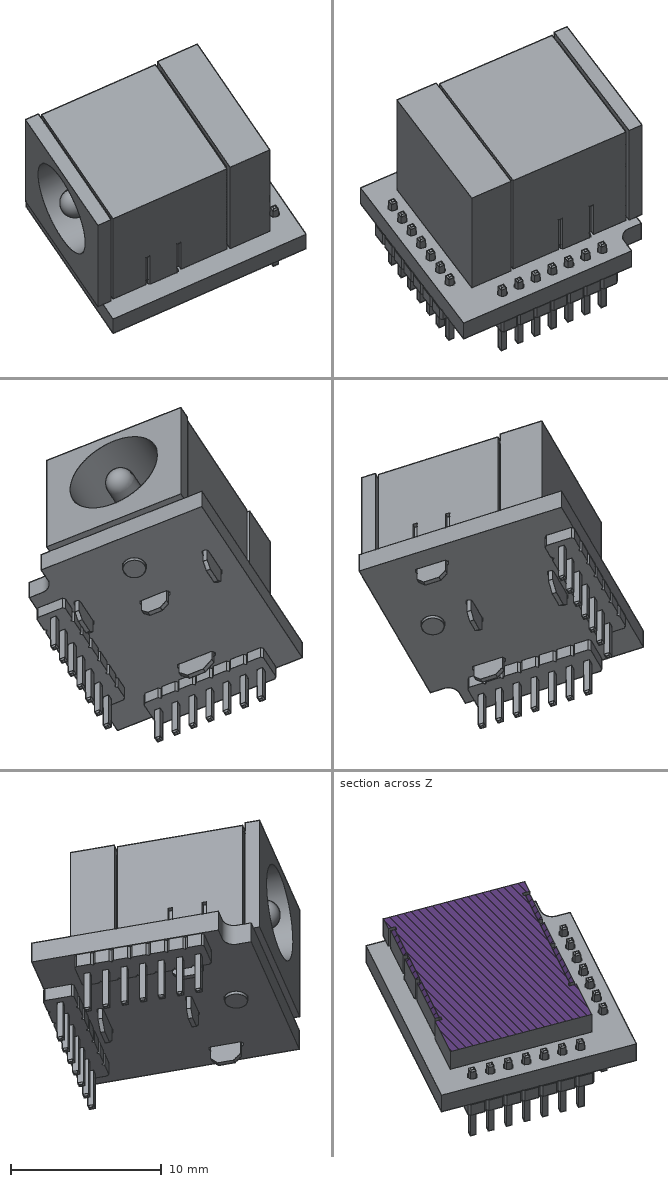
import cadquery as cq


board_width = 13.75
board_length = 14.6
board_thickness = 1.6
board_left = -7.4
board_front = 0.4
board_back = board_front + board_length
corner_notch_width = 1.79
corner_notch_length = 1.76
corner_notch_radius = 0.8
pin_hole_diameter = 0.65
peg_hole_diameter = 1.6
slot_width = 0.47
slot_end_clearance = 0.15

seating_gap = 0.038
jack_bottom = board_thickness + seating_gap
header_top = -seating_gap

jack_width = 10.0
jack_length = 13.0
jack_height = 9.0
front_plate_length = 1.0
rear_block_length = 3.01
bore_diameter = 6.5
bore_axis_height = 5.0
bore_depth = jack_length - rear_block_length
contact_pin_diameter = 2.0
peg_diameter = 1.5
peg_length = 1.84
peg_y = 3.0

shell_gap = 0.2
shell_sheet = 0.3
shell_side_inset = 0.08
shell_top_inset = 0.12
shell_front = front_plate_length + shell_gap
shell_length = jack_length - rear_block_length - front_plate_length - 2 * shell_gap
shell_width = jack_width - 2 * shell_side_inset
shell_height = jack_height - shell_top_inset
core_width = shell_width - 2 * shell_sheet
core_height = shell_height - shell_sheet
neck_inset = 0.5
neck_width = jack_width - 2 * neck_inset
neck_height = jack_height - neck_inset
relief_slot_width = 0.3
relief_slot_height = 2.95

terminal_thickness = shell_sheet
terminal_length = 3.01
rear_terminal_width = 2.47
rear_terminal_taper = 0.65
rear_terminal_y = 12.01
middle_terminal_width = 1.87
middle_terminal_taper = 0.47
middle_terminal_y = 6.0
side_terminal_width = 2.05
side_terminal_taper = 0.47
side_terminal_y = 5.0
side_terminal_x = (shell_width - terminal_thickness) / 2

pin_count = 7
header_length = 8.9
pin_pitch = header_length / pin_count
header_width = 2.1
header_height = 1.0
segment_chamfer = 0.15
pin_size = 0.4
pin_tip_chamfer = 0.1
pin_drop = 4.0
pin_rise = 0.62
back_header_overhang = 0.05
left_header_y = 7.63
pin_bottom = header_top - pin_drop
pin_top = jack_bottom + pin_rise
back_header_center = (0, board_back + back_header_overhang - header_width / 2)
left_header_center = (board_left + header_width / 2, left_header_y)


def block(width, length, height, front, bottom):
    """Box centred on X = 0, reaching back from Y = front and up from Z = bottom."""
    box = cq.Workplane("XY").box(width, length, height, centered=(True, False, False))
    return box.translate((0, front, bottom))


def terminal(width, taper):
    """Flat terminal across X with a 45 degree tapered end, hanging below the jack at Y = 0."""
    half = width / 2
    points = [
        (-half, 0),
        (-half, taper - terminal_length),
        (taper - half, -terminal_length),
        (half - taper, -terminal_length),
        (half, taper - terminal_length),
        (half, 0),
    ]
    plate = cq.Workplane("XZ").polyline(points).close().extrude(terminal_thickness / 2, both=True)
    return plate.translate((0, 0, jack_bottom))


def pin_offsets():
    """Distances of the pins of one header from its middle."""
    return [(i - (pin_count - 1) / 2) * pin_pitch for i in range(pin_count)]


def pin_places():
    """XY places of all the header pins."""
    back_row = [(back_header_center[0] + d, back_header_center[1]) for d in pin_offsets()]
    left_row = [(left_header_center[0], left_header_center[1] + d) for d in pin_offsets()]
    return back_row + left_row


def cut_slot(plate, width, x, y, angle):
    """Cut a round-ended slot through the board for a terminal of the given width."""
    slot = (
        cq.Workplane("XY")
        .slot2D(width + 2 * slot_end_clearance, slot_width, angle)
        .extrude(board_thickness)
    )
    return plate.cut(slot.translate((x, y, 0)))


def make_board():
    plate = cq.Workplane("XY").box(board_width, board_length, board_thickness, centered=False)
    notch = (
        cq.Workplane("XY")
        .box(corner_notch_width, corner_notch_length, board_thickness, centered=False)
        .edges("|Z and >X and >Y")
        .fillet(corner_notch_radius)
    )
    plate = plate.cut(notch).translate((board_left, board_front, 0))
    pin_holes = (
        cq.Workplane("XY").pushPoints(pin_places()).circle(pin_hole_diameter / 2).extrude(board_thickness)
    )
    peg_hole = cq.Workplane("XY").center(0, peg_y).circle(peg_hole_diameter / 2).extrude(board_thickness)
    plate = plate.cut(pin_holes).cut(peg_hole)
    plate = cut_slot(plate, rear_terminal_width, 0, rear_terminal_y, 0)
    plate = cut_slot(plate, middle_terminal_width, 0, middle_terminal_y, 0)
    for side in (-1, 1):
        plate = cut_slot(plate, side_terminal_width, side * side_terminal_x, side_terminal_y, 90)
    return plate


def make_contact_pin():
    """Round pin on the bore axis, its domed tip level with the front face."""
    radius = contact_pin_diameter / 2
    shaft = cq.Workplane("XZ").circle(radius).extrude(radius - bore_depth).translate((0, radius, 0))
    dome = cq.Workplane("XY").sphere(radius).translate((0, radius, 0))
    return shaft.union(dome).translate((0, 0, jack_bottom + bore_axis_height))


def make_housing():
    """Plastic housing with its contact pin, locating peg, and the terminals on the jack axis."""
    neck_length = jack_length - front_plate_length - rear_block_length
    front_plate = block(jack_width, front_plate_length, jack_height, 0, jack_bottom)
    neck = block(neck_width, neck_length, neck_height, front_plate_length, jack_bottom)
    core = block(core_width, shell_length, core_height, shell_front, jack_bottom)
    rear_block = block(jack_width, rear_block_length, jack_height, bore_depth, jack_bottom)
    bore = (
        cq.Workplane("XZ")
        .circle(bore_diameter / 2)
        .extrude(-bore_depth)
        .translate((0, 0, jack_bottom + bore_axis_height))
    )
    peg = cq.Workplane("XY").circle(peg_diameter / 2).extrude(-peg_length)
    rear_terminal = terminal(rear_terminal_width, rear_terminal_taper)
    middle_terminal = terminal(middle_terminal_width, middle_terminal_taper)
    return (
        front_plate.union(neck)
        .union(core)
        .union(rear_block)
        .cut(bore)
        .union(make_contact_pin())
        .union(peg.translate((0, peg_y, jack_bottom)))
        .union(rear_terminal.translate((0, rear_terminal_y, 0)))
        .union(middle_terminal.translate((0, middle_terminal_y, 0)))
    )


def make_shell():
    """Sheet metal cover over the top and sides, with a slotted terminal in each side."""
    shell = block(shell_width, shell_length, shell_height, shell_front, jack_bottom)
    shell = shell.cut(block(core_width, shell_length, core_height, shell_front, jack_bottom))
    relief_offset = (side_terminal_width + relief_slot_width) / 2
    for direction in (-1, 1):
        relief_front = side_terminal_y + direction * relief_offset - relief_slot_width / 2
        relief = block(shell_width, relief_slot_width, relief_slot_height, relief_front, jack_bottom)
        shell = shell.cut(relief)
    side_plate = terminal(side_terminal_width, side_terminal_taper).rotate((0, 0, 0), (0, 0, 1), 90)
    for side in (-1, 1):
        shell = shell.union(side_plate.translate((side * side_terminal_x, side_terminal_y, 0)))
    return shell


def make_header():
    """Row of chamfered plastic segments along X, with a square pin through each one."""
    segment = (
        cq.Workplane("XY")
        .rect(pin_pitch, header_width)
        .extrude(-header_height)
        .edges("|Z")
        .chamfer(segment_chamfer)
        .translate((0, 0, header_top))
    )
    pin = (
        cq.Workplane("XY")
        .rect(pin_size, pin_size)
        .extrude(pin_top - pin_bottom)
        .faces("<Z or >Z")
        .chamfer(pin_tip_chamfer)
        .translate((0, 0, pin_bottom))
    )
    unit = segment.union(pin)
    header = cq.Workplane("XY")
    for offset in pin_offsets():
        header = header.union(unit.translate((offset, 0, 0)))
    return header


board = make_board()
housing = make_housing()
shell = make_shell()
back_header = make_header().translate((*back_header_center, 0))
left_header = make_header().rotate((0, 0, 0), (0, 0, 1), 90).translate((*left_header_center, 0))

result = cq.Compound.makeCompound(
    [board.val(), housing.val(), shell.val(), back_header.val(), left_header.val()]
)